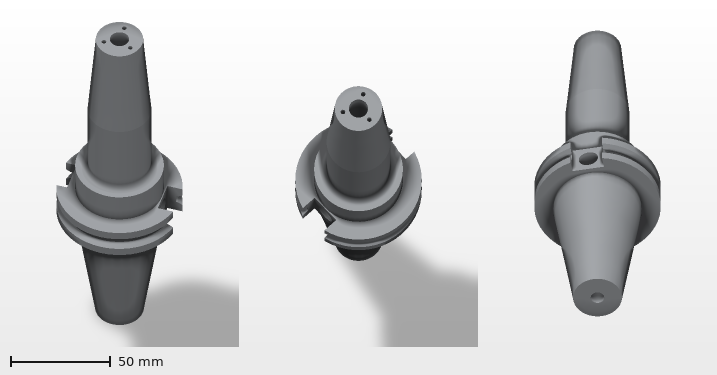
import cadquery as cq
import math

total_height = 195.2
taper_height = 68.7
flange_bottom = 71.5
flange_top = 87.5
collar_top = 103.5
nose_start = 144.5

gauge_radius = 22.3
taper_ratio = 7 / 24
taper_end_radius = gauge_radius - taper_height * taper_ratio / 2
flange_diameter = 63.5
flange_radius = flange_diameter / 2
neck_radius = 16.0
nose_radius = 12.0
neck_fillet = 3.0

groove_floor_diameter = 56.5
groove_floor_radius = groove_floor_diameter / 2
groove_width = 4.3
flank_height = 1.4
flank_angle = 30.0
flank_foot_radius = flange_radius - flank_height / math.tan(math.radians(flank_angle))

slot_width = 16.0
left_slot_floor = 25.0
right_slot_floor = 22.6
slot_hole_diameter = 9.8
slot_hole_depth = 11.7

tool_bore_diameter = 9.5
tool_bore_depth = 46.9
through_bore_diameter = 6.8
coolant_hole_diameter = 2.3
coolant_hole_depth = tool_bore_depth
coolant_circle_radius = 8.0
coolant_hole_count = 3

flange_height = flange_top - flange_bottom
flange_middle = (flange_bottom + flange_top) / 2


def turned_body():
    """Revolve the half section: taper, grooved flange, collar, neck and nose."""
    groove_low = flange_middle - groove_width / 2
    groove_high = flange_middle + groove_width / 2
    fillet_drop = neck_fillet * (1 - math.sqrt(0.5))
    return (
        cq.Workplane("XZ")
        .lineTo(taper_end_radius, 0)
        .lineTo(gauge_radius, taper_height)
        .lineTo(gauge_radius, flange_bottom)
        .lineTo(flange_radius, flange_bottom)
        .lineTo(flange_radius, groove_low - flank_height)
        .lineTo(flank_foot_radius, groove_low)
        .lineTo(groove_floor_radius, groove_low)
        .lineTo(groove_floor_radius, groove_high)
        .lineTo(flank_foot_radius, groove_high)
        .lineTo(flange_radius, groove_high + flank_height)
        .lineTo(flange_radius, flange_top)
        .lineTo(gauge_radius, flange_top)
        .lineTo(gauge_radius, collar_top)
        .lineTo(neck_radius + neck_fillet, collar_top)
        .threePointArc(
            (neck_radius + fillet_drop, collar_top + fillet_drop),
            (neck_radius, collar_top + neck_fillet),
        )
        .lineTo(neck_radius, nose_start)
        .lineTo(nose_radius, total_height)
        .lineTo(0, total_height)
        .close()
        .revolve(360, (0, 0, 0), (0, 1, 0))
    )


def drive_slot(side, floor_distance):
    """Slot through the flange height with a blind round hole in its floor; side is -1 or 1."""
    slot_depth = flange_radius - floor_distance
    slot = cq.Workplane("XY").box(slot_depth, slot_width, flange_height).translate(
        (side * (floor_distance + slot_depth / 2), 0, flange_middle)
    )
    hole = (
        cq.Workplane("YZ", origin=(side * floor_distance, 0, flange_middle))
        .circle(slot_hole_diameter / 2)
        .extrude(-side * slot_hole_depth)
    )
    return slot.union(hole)


def drill_from_nose(workplane, diameter, depth):
    """Cutting cylinders sunk from the nose face at the points of the workplane."""
    return workplane.circle(diameter / 2).extrude(-depth)


nose_face = cq.Workplane("XY", origin=(0, 0, total_height))
coolant_points = nose_face.polarArray(coolant_circle_radius, 90, 360, coolant_hole_count)

result = (
    turned_body()
    .cut(drive_slot(-1, left_slot_floor))
    .cut(drive_slot(1, right_slot_floor))
    .cut(drill_from_nose(nose_face, through_bore_diameter, total_height))
    .cut(drill_from_nose(nose_face, tool_bore_diameter, tool_bore_depth))
    .cut(drill_from_nose(coolant_points, coolant_hole_diameter, coolant_hole_depth))
)